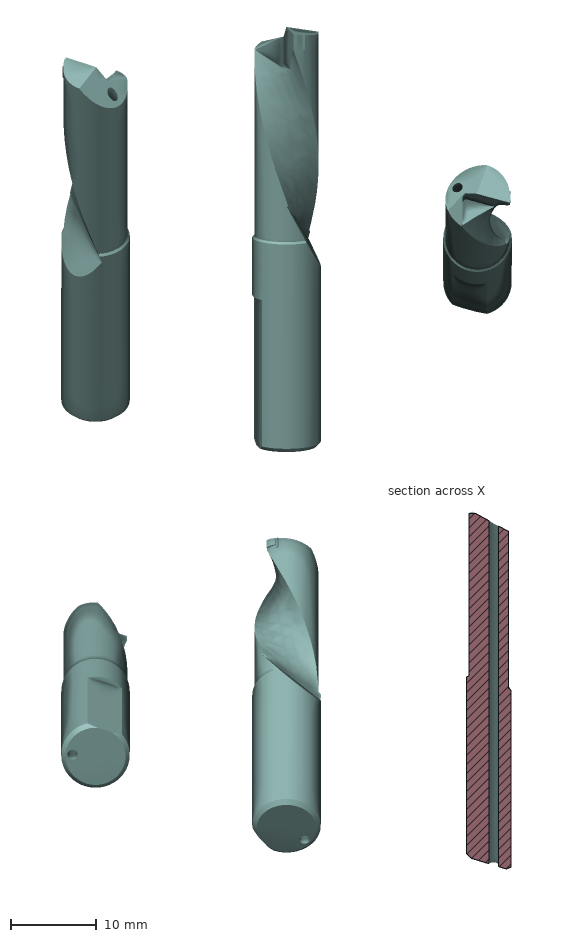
import cadquery as cq
import math

TOTAL_LENGTH = 50.0
BIG = 20.0

SHANK_RADIUS = 8.0 / 2
SHANK_LENGTH = 25.15
END_CHAMFER = 0.5
STEP_CHAMFER = 0.24
FLAT_LENGTH = 18.0
FLAT_Y = 3.4

BODY_RADIUS = 7.5 / 2
COOLANT_DIAMETER = 1.2
COOLANT_X = 2.6
COOLANT_Y = -0.65

FLUTE_TWIST_PER_MM = 5.35
FLUTE_EDGE_Z = 48.1
CUTTING_EDGE_ANGLE = 180.0
BACK_EDGE_ANGLE = 71.0
FLUTE_CORE_ANGLE = 133.0
FLUTE_CORE_RADIUS = 1.45
FLUTE_OUTER_RADIUS = 8.0
FLUTE_START_Z = 20.0

RUNOUT_LEFT = cq.Vector(-3.6, 0.7, 29.3)
RUNOUT_RIGHT = cq.Vector(2.43, -3.18, 24.0)
RUNOUT_LOW = cq.Vector(-0.55, -3.96, 21.5)

LIP_END_X = 0.1
LIP_RELIEF = 0.18
SLOPE_FALL = 1.0
SLOPE_RELIEF = 0.25
CLEARANCE_INNER = (1.95, 0.65)
CLEARANCE_OUTER = (2.9, 2.3)
CLEARANCE_BACK = cq.Vector(0.9, 3.4, 47.35)

NOTCH_FLOOR_Z = 45.3
NOTCH_FLOOR_FLAT = 0.6
NOTCH_FLOOR_RISE = 0.65
NOTCH_CORNER_X = 1.8
NOTCH_WALL_LEAN = 0.28
NOTCH_CORNER_RADIUS = 0.42

MARGIN_RADIUS = 3.9
MARGIN_BOTTOM_Z = 48.6
MARGIN_LAND = 0.5
MARGIN_WIDTH = 1.1
MARGIN_BACK_X = -3.67
MARGIN_ROOT_X = -2.0
HEEL_BOTTOM_Z = 48.05
HEEL_X = -3.59
HEEL_END = 1.4


def polar(radius, angle):
    """XY point at a radius and an angle around the axis."""
    return radius * math.cos(math.radians(angle)), radius * math.sin(math.radians(angle))


def block_beyond(origin, normal):
    """Large block filling the space beyond a plane, on the side its normal points to."""
    plane = cq.Plane(origin=origin.toTuple(), normal=normal.toTuple())
    return cq.Workplane(plane).rect(2 * BIG, 2 * BIG).extrude(2 * BIG)


def make_blank():
    """Chamfered shank with its flat, and the thinner cutting body."""
    shank = cq.Workplane("XY").circle(SHANK_RADIUS).extrude(SHANK_LENGTH)
    shank = shank.faces("<Z").chamfer(END_CHAMFER)
    shank = shank.faces(">Z").chamfer(STEP_CHAMFER)
    flat = cq.Workplane("XY").box(BIG, BIG, FLAT_LENGTH, centered=(True, False, False))
    shank = shank.cut(flat.translate((0, FLAT_Y, 0)))
    body_length = TOTAL_LENGTH - SHANK_LENGTH
    body = cq.Workplane("XY").workplane(offset=SHANK_LENGTH).circle(BODY_RADIUS).extrude(body_length)
    return shank.union(body)


def make_margin():
    """Land at the cutting corner that stands out from the body, with a flat and a low heel behind it."""
    land_x = -math.sqrt(MARGIN_RADIUS**2 - MARGIN_LAND**2)
    middle_y = MARGIN_LAND / 2
    middle_x = -math.sqrt(MARGIN_RADIUS**2 - middle_y**2)
    land = (
        cq.Workplane("XY")
        .workplane(offset=MARGIN_BOTTOM_Z)
        .moveTo(-MARGIN_RADIUS, 0)
        .threePointArc((middle_x, -middle_y), (land_x, -MARGIN_LAND))
        .lineTo(MARGIN_BACK_X, -MARGIN_WIDTH)
        .lineTo(MARGIN_ROOT_X, -MARGIN_WIDTH)
        .lineTo(MARGIN_ROOT_X, 0)
        .close()
        .extrude(TOTAL_LENGTH - MARGIN_BOTTOM_Z)
    )
    heel_size = (MARGIN_ROOT_X - HEEL_X, HEEL_END - MARGIN_WIDTH, TOTAL_LENGTH - HEEL_BOTTOM_Z)
    heel = cq.Workplane("XY").box(*heel_size, centered=False)
    return land.union(heel.translate((HEEL_X, -HEEL_END, HEEL_BOTTOM_Z)))


def make_flute():
    """Twisted flute and the planar run-out below it, as two cutting bodies."""
    start_turn = FLUTE_TWIST_PER_MM * (FLUTE_EDGE_Z - FLUTE_START_Z)
    cutting = CUTTING_EDGE_ANGLE + start_turn
    back = BACK_EDGE_ANGLE + start_turn
    length = TOTAL_LENGTH - FLUTE_START_Z
    helix = (
        cq.Workplane("XY")
        .workplane(offset=FLUTE_START_Z)
        .moveTo(*polar(FLUTE_OUTER_RADIUS, cutting))
        .lineTo(*polar(BODY_RADIUS, cutting))
        .threePointArc(polar(FLUTE_CORE_RADIUS, FLUTE_CORE_ANGLE + start_turn), polar(BODY_RADIUS, back))
        .lineTo(*polar(FLUTE_OUTER_RADIUS, back))
        .threePointArc(polar(FLUTE_OUTER_RADIUS, (cutting + back) / 2), polar(FLUTE_OUTER_RADIUS, cutting))
        .close()
        .twistExtrude(length, -FLUTE_TWIST_PER_MM * length)
    )
    upper_line = RUNOUT_RIGHT - RUNOUT_LEFT
    outward = (RUNOUT_LOW - RUNOUT_LEFT).cross(upper_line)
    downward = upper_line.cross(outward)
    helix = helix.cut(block_beyond(RUNOUT_LEFT, downward))
    runout = block_beyond(RUNOUT_LEFT, outward).intersect(block_beyond(RUNOUT_LEFT, downward))
    return helix, runout


def slope_height(x, y):
    """Height of the sloping point face."""
    return TOTAL_LENGTH - SLOPE_FALL * (x - LIP_END_X) + SLOPE_RELIEF * y


def cut_point(drill):
    """Cut the lip relief, the sloping face and the clearance facet."""
    lip_corner = cq.Vector(LIP_END_X, 0, TOTAL_LENGTH)
    drill = drill.cut(block_beyond(lip_corner, cq.Vector(0, -LIP_RELIEF, 1)))
    drill = drill.cut(block_beyond(lip_corner, cq.Vector(SLOPE_FALL, -SLOPE_RELIEF, 1)))
    inner = cq.Vector(*CLEARANCE_INNER, slope_height(*CLEARANCE_INNER))
    outer = cq.Vector(*CLEARANCE_OUTER, slope_height(*CLEARANCE_OUTER))
    clearance = block_beyond(inner, (outer - inner).cross(CLEARANCE_BACK - inner))
    behind_lip = block_beyond(lip_corner, cq.Vector(0, 1, 0))
    return drill.cut(clearance.intersect(behind_lip))


def make_notch():
    """Upright notch in front of the lip, with a rounded corner and a floor rising to +Y."""
    plan = (
        cq.Workplane("XY")
        .workplane(offset=NOTCH_FLOOR_Z)
        .moveTo(-BIG, 0)
        .lineTo(NOTCH_CORNER_X, 0)
        .lineTo(NOTCH_CORNER_X - NOTCH_WALL_LEAN * BIG, BIG)
        .lineTo(-BIG, BIG)
        .close()
        .extrude(BIG)
        .edges(cq.selectors.NearestToPointSelector((NOTCH_CORNER_X, 0, NOTCH_FLOOR_Z + BIG / 2)))
        .fillet(NOTCH_CORNER_RADIUS)
    )
    floor_start = cq.Vector(0, NOTCH_FLOOR_FLAT, NOTCH_FLOOR_Z)
    return plan.cut(block_beyond(floor_start, cq.Vector(0, NOTCH_FLOOR_RISE, -1)))


def make_coolant_hole():
    """Straight hole through the whole length."""
    return cq.Workplane("XY").center(COOLANT_X, COOLANT_Y).circle(COOLANT_DIAMETER / 2).extrude(TOTAL_LENGTH)


helix_cut, runout_cut = make_flute()
fluted = make_blank().cut(helix_cut).cut(runout_cut)
notched = fluted.union(make_margin()).cut(make_notch())
result = cut_point(notched).cut(make_coolant_hole())